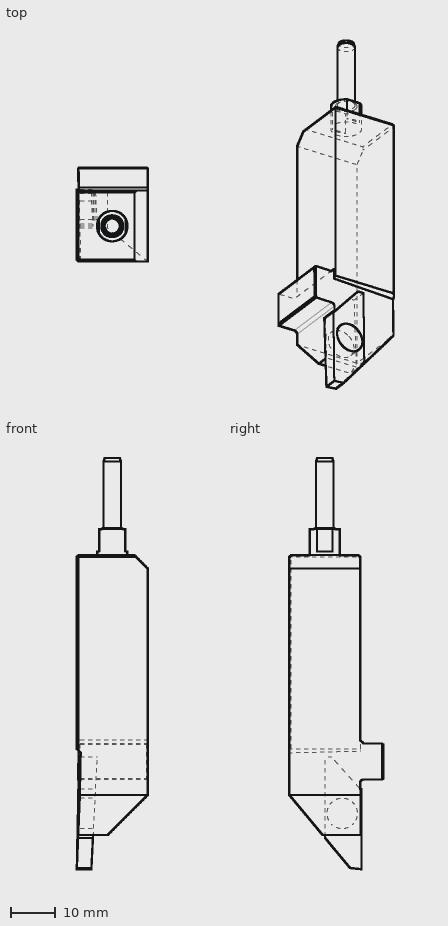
import cadquery as cq

SHANK_WIDTH = 15.9
SHANK_TOP = 70.2
HOLDER_BOTTOM = 7.6
EDGE_CHAMFER = 0.5
TOP_CORNER_CUT = 3.0
SLOPE_START = 16.6

HOOK_END = 21.0
HOOK_TOP = 28.1
HOOK_BOTTOM = 20.0
HOOK_ROOT = 0.7
HOOK_CHAMFER = 0.3

FACE_RISE = 0.02
FACE_SKEW = 0.025
RELIEF_TOP = 26.9
ABOVE_HOOK = 2 * HOOK_TOP
CUT_MARGIN = 4.6

INSERT_FRONT = 16.2
INSERT_BACK = 8.0
INSERT_TOP = 25.1
INSERT_TOP_EDGE = 9.5
INSERT_SHOULDER = 17.9
TIP_END = 13.6
TIP_END_HEIGHT = 0.3
INSERT_TIP_THICKNESS = 3.3
INSERT_BACK_RISE = 0.05
POST_DIAMETER = 6.8
POST_Y = 11.85
POST_Z = 12.5

STUD_X = SHANK_WIDTH / 2
STUD_Y = SHANK_WIDTH / 2
COLLAR_DIAMETER = 6.8
COLLAR_TOP = 75.9
FLAT_SPAN = 5.9
FLAT_BOTTOM = 71.0
PIN_DIAMETER = 3.95
PIN_TOP = 91.8
PIN_FOOT_DIAMETER = 4.9
PIN_FOOT_HEIGHT = 0.3
PIN_TIP_INSET = 0.3
PIN_TIP_HEIGHT = 0.8

HEEL_SLOPE = (SLOPE_START - TIP_END_HEIGHT) / TIP_END
HEEL_AT_BOTTOM = (SLOPE_START - HOLDER_BOTTOM) / HEEL_SLOPE
HEEL_AT_INSERT = SLOPE_START - HEEL_SLOPE * INSERT_BACK


def face_x(y, z):
    """X position of the inclined working face."""
    return FACE_RISE * z + FACE_SKEW * (INSERT_FRONT - y)


def relief_cutter(top):
    """Material in front of the working face, closed above by a 45 degree step."""
    y_low = -CUT_MARGIN
    y_high = HOOK_END + CUT_MARGIN
    z_low = -CUT_MARGIN

    def section(y):
        step_depth = face_x(y, top) / (1 + FACE_RISE)
        return [
            cq.Vector(-CUT_MARGIN, y, z_low),
            cq.Vector(face_x(y, z_low), y, z_low),
            cq.Vector(step_depth, y, top - step_depth),
            cq.Vector(-CUT_MARGIN, y, top + CUT_MARGIN),
        ]

    wires = [cq.Wire.makePolygon(section(y), close=True) for y in (y_low, y_high)]
    return cq.Workplane(obj=cq.Solid.makeLoft(wires, True))


def make_shank():
    shank = cq.Workplane("XY").box(SHANK_WIDTH, SHANK_WIDTH, SHANK_TOP, centered=False)
    shank = shank.edges("<X and <Y").chamfer(EDGE_CHAMFER)
    shank = shank.faces(">Z").edges("not >X").chamfer(EDGE_CHAMFER)
    corner = (
        cq.Workplane("XZ")
        .moveTo(SHANK_WIDTH, SHANK_TOP)
        .lineTo(SHANK_WIDTH - TOP_CORNER_CUT, SHANK_TOP)
        .lineTo(SHANK_WIDTH, SHANK_TOP - TOP_CORNER_CUT)
        .close()
        .extrude(-SHANK_WIDTH)
    )
    return shank.cut(corner)


def make_hook():
    """Hook with a chamfered upper root and a rounded lower root."""
    hook = (
        cq.Workplane("YZ")
        .moveTo(0, HOOK_TOP)
        .lineTo(SHANK_WIDTH, HOOK_TOP)
        .lineTo(SHANK_WIDTH, HOOK_TOP + HOOK_ROOT)
        .lineTo(SHANK_WIDTH + HOOK_ROOT, HOOK_TOP)
        .lineTo(HOOK_END, HOOK_TOP)
        .lineTo(HOOK_END, HOOK_BOTTOM)
        .lineTo(SHANK_WIDTH + HOOK_ROOT, HOOK_BOTTOM)
        .radiusArc((SHANK_WIDTH, HOOK_BOTTOM - HOOK_ROOT), -HOOK_ROOT)
        .lineTo(0, HOOK_BOTTOM - HOOK_ROOT)
        .close()
        .extrude(SHANK_WIDTH)
    )
    hook = hook.cut(relief_cutter(ABOVE_HOOK))
    return hook.faces(">Y").chamfer(HOOK_CHAMFER)


def heel_cutter():
    """Removes the sloped heel and everything below the holder."""
    return (
        cq.Workplane("YZ")
        .moveTo(0, SLOPE_START)
        .lineTo(HEEL_AT_BOTTOM, HOLDER_BOTTOM)
        .lineTo(HOOK_END, HOLDER_BOTTOM)
        .lineTo(HOOK_END, 0)
        .lineTo(0, 0)
        .close()
        .extrude(SHANK_WIDTH)
    )


def side_slope_cutter():
    """45 degree cut below the +X face."""
    return (
        cq.Workplane("XZ")
        .moveTo(SHANK_WIDTH, SLOPE_START)
        .lineTo(SHANK_WIDTH, 0)
        .lineTo(SHANK_WIDTH - SLOPE_START, 0)
        .close()
        .extrude(-HOOK_END)
    )


def make_insert_blank():
    """Insert with its inclined front face and tapered back, before the post hole."""
    outline = (
        cq.Workplane("YZ")
        .moveTo(INSERT_FRONT, 0)
        .lineTo(TIP_END, TIP_END_HEIGHT)
        .lineTo(INSERT_BACK, HEEL_AT_INSERT)
        .lineTo(INSERT_BACK, INSERT_TOP)
        .lineTo(INSERT_TOP_EDGE, INSERT_TOP)
        .lineTo(SHANK_WIDTH, INSERT_SHOULDER)
        .lineTo(INSERT_FRONT, INSERT_SHOULDER)
        .close()
        .extrude(SHANK_WIDTH)
    )
    side_profile = (
        cq.Workplane("XZ")
        .moveTo(0, 0)
        .lineTo(INSERT_TIP_THICKNESS, 0)
        .lineTo(INSERT_TIP_THICKNESS + INSERT_BACK_RISE * INSERT_TOP, INSERT_TOP)
        .lineTo(0, INSERT_TOP)
        .close()
        .extrude(-HOOK_END)
    )
    return outline.intersect(side_profile).cut(relief_cutter(ABOVE_HOOK))


def make_post_rod():
    """Round rod along X that fixes the insert."""
    return (
        cq.Workplane("YZ")
        .center(POST_Y, POST_Z)
        .circle(POST_DIAMETER / 2)
        .extrude(SHANK_WIDTH / 2)
    )


def make_stud():
    """Collar with two wrench flats, carrying a pin with a flared foot."""
    pin_radius = PIN_DIAMETER / 2
    profile = (
        cq.Workplane("XZ")
        .moveTo(0, SHANK_TOP)
        .lineTo(COLLAR_DIAMETER / 2, SHANK_TOP)
        .lineTo(COLLAR_DIAMETER / 2, COLLAR_TOP)
        .lineTo(PIN_FOOT_DIAMETER / 2, COLLAR_TOP)
        .lineTo(pin_radius, COLLAR_TOP + PIN_FOOT_HEIGHT)
        .lineTo(pin_radius, PIN_TOP - PIN_TIP_HEIGHT)
        .lineTo(pin_radius - PIN_TIP_INSET, PIN_TOP)
        .lineTo(0, PIN_TOP)
        .close()
    )
    stud = profile.revolve(360, (0, 0, 0), (0, 1, 0))
    flat_depth = COLLAR_DIAMETER - FLAT_SPAN
    for side in (-1, 1):
        flat = (
            cq.Workplane("XY", origin=(side * (FLAT_SPAN + flat_depth) / 2, 0, FLAT_BOTTOM))
            .rect(flat_depth, COLLAR_DIAMETER)
            .extrude(COLLAR_TOP - FLAT_BOTTOM)
        )
        stud = stud.cut(flat)
    return stud.translate((STUD_X, STUD_Y, 0))


def make_holder(insert_blank, post_rod):
    """Shank, hook and stud in one piece, with the insert pocket and its post."""
    holder = make_shank().cut(relief_cutter(RELIEF_TOP))
    holder = holder.union(make_hook())
    holder = holder.cut(heel_cutter()).cut(side_slope_cutter())
    holder = holder.cut(insert_blank)
    post = insert_blank.intersect(post_rod)
    return holder.union(post).union(make_stud())


insert_blank = make_insert_blank()
post_rod = make_post_rod()
holder = make_holder(insert_blank, post_rod)
cutting_insert = insert_blank.cut(post_rod)

result = cq.Compound.makeCompound([holder.solids().val(), cutting_insert.solids().val()])